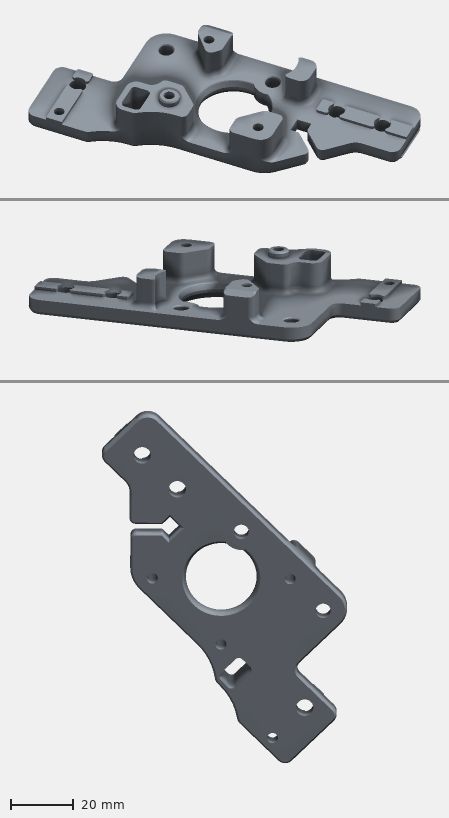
import cadquery as cq
import math

length = 116.0
width = 53.0
plate_top = 5.0
strip_top = 6.0
boss_top = 15.0
pin_top = 17.0
corner_r = 3.0
blend_r = 2.0
bottom_chamfer_height = 1.0
bottom_chamfer_width = 0.7

motor_x = 59.0
motor_y = 29.9
bolt_pitch = 31.0
half_pitch = bolt_pitch / 2
left_hole_x = motor_x - half_pitch
right_hole_x = motor_x + half_pitch
low_hole_y = motor_y - half_pitch
high_hole_y = motor_y + half_pitch
motor_rim_r = 12.4
motor_throat_r = 11.3
motor_rim_bevel = 0.2
motor_throat_height = 1.0

boss_reach = 8.1
boss_edge = 5.6
boss_cut = 7.0
cut_r = 2.5

lip_reach = 0.5
lip_slope = 0.2
body_right = length - lip_reach
arm_top = 24.8
arm_right = 21.5
upper_left_r = 7.0
upper_right_r = 5.0
tail_bottom = 30.7
front_edge = low_hole_y - boss_edge
scallop_r = 20.0
scallop_level = 4.3
low_scallop_end = 33.9
high_scallop_end = 48.6
tongue_tip_x = 92.3
tongue_tip_y = 21.8
prong_tip_x = 90.1
prong_tip_y = 20.1
prong_bend_r = 10.0
notch_left = 80.0
notch_right = 84.9
notch_bottom = 27.3
notch_top = 32.6
notch_r = 0.9

screw_d = 3.5
pin_d = 6.7
pin_chamfer = 0.5
slot_left = 30.3
slot_bottom = 6.0
slot_width = 6.5
slot_length = 9.7
slot_corner_r = 1.5
slot_wall = 1.9
bevel_length = 2.5
bevel_drop = 1.4
bevel_inset = 0.8

thread_d = 4.8
thread_mouth_d = 5.5
thread_left_x = 28.7
thread_right_x = 65.7
thread_wall_r = 6.0
boss_clearance_r = 8.4

strip_width = 5.6
strip_hole_d = 5.5
arm_strip_x = 9.9
arm_strip_hole_y = 18.6
arm_screw_y = 4.2
arm_screw_d = 3.4
tail_strip_left = 84.0
tail_strip_y = 41.0
tail_hole_xs = (90.0, 105.9)
strip_corner = 0.5
waist_half = 2.0
waist_flare = 0.5


def rounded_prism(sketch, height, corners):
    """Extrude a closed outline and round its vertical edges; a zero radius leaves a corner sharp."""
    body = sketch.extrude(height)
    for x, y, radius in corners:
        if radius == 0:
            continue
        nearest = cq.selectors.NearestToPointSelector((x, y, height / 2))
        body = body.edges("|Z").edges(nearest).fillet(radius)
    return body


def rounded_polygon(corners, height):
    """Prism whose corners are (x, y, rounding radius)."""
    points = [(x, y) for x, y, _ in corners]
    return rounded_prism(cq.Workplane("XY").polyline(points).close(), height, corners)


def cylinder(x, y, diameter, bottom, top):
    """Upright cylinder between two levels."""
    base = cq.Workplane("XY").workplane(offset=bottom)
    return base.center(x, y).circle(diameter / 2).extrude(top - bottom)


def scallop_span(rise):
    """Horizontal run of a scallop arc that falls by `rise` from its level end."""
    return math.sqrt(scallop_r**2 - (scallop_r - rise) ** 2)


def scallop_middle(end_x, end_y, rise):
    """Point halfway round a scallop arc, starting from its level end."""
    angle = math.acos(1 - rise / scallop_r) / 2
    return end_x - scallop_r * math.sin(angle), end_y - scallop_r * (1 - math.cos(angle))


def outline_prism():
    """Plate outline, full part height, with the bottom rim chamfered."""
    low_start = low_scallop_end - scallop_span(scallop_level)
    high_rise = front_edge - scallop_level
    high_start = high_scallop_end - scallop_span(high_rise)
    tail_start = tongue_tip_x + tail_bottom - tongue_tip_y
    notch_right_end = tongue_tip_y + tongue_tip_x - notch_right
    notch_bottom_end = prong_tip_x - (notch_bottom - prong_tip_y)
    prong_start = prong_tip_x - (prong_tip_y - front_edge)
    sketch = (
        cq.Workplane("XY")
        .moveTo(0, 0)
        .lineTo(low_start, 0)
        .threePointArc(scallop_middle(low_scallop_end, scallop_level, scallop_level),
                       (low_scallop_end, scallop_level))
        .lineTo(high_start, scallop_level)
        .threePointArc(scallop_middle(high_scallop_end, front_edge, high_rise),
                       (high_scallop_end, front_edge))
        .lineTo(prong_start, front_edge)
        .lineTo(prong_tip_x, prong_tip_y)
        .lineTo(notch_bottom_end, notch_bottom)
        .lineTo(notch_left, notch_bottom)
        .lineTo(notch_left, notch_top)
        .lineTo(notch_right, notch_top)
        .lineTo(notch_right, notch_right_end)
        .lineTo(tongue_tip_x, tongue_tip_y)
        .lineTo(tail_start, tail_bottom)
        .lineTo(body_right, tail_bottom)
        .lineTo(body_right, width)
        .lineTo(arm_right, width)
        .lineTo(arm_right, arm_top)
        .lineTo(0, arm_top)
        .close()
    )
    corners = [
        (0, 0, corner_r),
        (low_start, 0, corner_r),
        (high_start, scallop_level, slot_wall + slot_corner_r),
        (prong_start, front_edge, prong_bend_r),
        (prong_tip_x, prong_tip_y, blend_r),
        (notch_bottom_end, notch_bottom, notch_r),
        (notch_right, notch_right_end, notch_r),
        (tongue_tip_x, tongue_tip_y, blend_r),
        (tail_start, tail_bottom, upper_right_r),
        (body_right, tail_bottom, corner_r),
        (body_right, width, upper_right_r),
        (arm_right, width, upper_left_r),
        (arm_right, arm_top, corner_r),
        (0, arm_top, corner_r),
    ]
    prism = rounded_prism(sketch, pin_top, corners)
    return prism.faces("<Z").edges().chamfer(bottom_chamfer_width, bottom_chamfer_height)


def slot_boss():
    """Front-left boss: a lobe around the slot joined to a block around the pin."""
    lobe_left = slot_left - slot_wall
    lobe_top = 18.5
    lobe_r = 3.5
    neck_low_x = 36.8
    neck_high_x = 38.0
    right = left_hole_x + boss_reach
    top = low_hole_y + boss_reach
    scallop_start = high_scallop_end - scallop_span(front_edge - scallop_level)
    return rounded_polygon([
        (lobe_left, scallop_level, lobe_r),
        (scallop_start, scallop_level, 0),
        (high_scallop_end, front_edge, 0),
        (right, front_edge, blend_r),
        (right, top - boss_cut, cut_r),
        (right - boss_cut, top, cut_r),
        (neck_high_x, top, blend_r),
        (neck_low_x, lobe_top, lobe_r),
        (lobe_left, lobe_top, lobe_r),
    ], boss_top)


def front_right_boss():
    """Boss on the front edge, with a larger rounding on its outer corner."""
    outer_r = 4.4
    left = right_hole_x - boss_reach
    right = right_hole_x + boss_edge
    top = low_hole_y + boss_reach
    return rounded_polygon([
        (left, front_edge, blend_r),
        (right, front_edge, outer_r),
        (right, top, blend_r),
        (left + boss_cut, top, cut_r),
        (left, top - boss_cut, cut_r),
    ], boss_top)


def back_left_boss():
    """Boss on the back edge, with its top bevelled down towards that edge and its two corners."""
    left = 38.7
    right = 49.3
    tip_x = 45.7
    tip_y = 39.1
    left_end_y = 47.2
    right_end_y = tip_y + right - tip_x
    boss = rounded_polygon([
        (left, width, blend_r),
        (left, left_end_y, blend_r),
        (tip_x, tip_y, blend_r),
        (right, right_end_y, blend_r),
        (right, width, blend_r),
    ], boss_top)
    bevel_start = width - bevel_length
    bevel = (
        cq.Workplane("YZ")
        .polyline([
            (bevel_start, boss_top),
            (bevel_start + 2 * bevel_length, boss_top),
            (bevel_start + 2 * bevel_length, boss_top - 2 * bevel_drop),
        ])
        .close()
        .extrude(length)
    )
    boss = boss.cut(bevel)
    for pivot_x, turn in ((left + bevel_inset, 45), (right - bevel_inset, -45)):
        pivot = (pivot_x, bevel_start, 0)
        boss = boss.cut(bevel.rotate(pivot, (pivot_x, bevel_start, 1), turn))
    return boss


def back_right_boss():
    """Post beside the inner threaded hole, before the clearance cut."""
    left = 72.2
    right = 80.0
    bottom = 39.4
    top = 49.9
    return rounded_polygon([
        (left, bottom, blend_r),
        (right, bottom, corner_r),
        (right, top, corner_r),
        (left, top, blend_r),
    ], boss_top)


def blended_body():
    """Plate and bosses with filleted roots, trimmed to the plate outline."""
    margin = 11.6
    selection_gap = 0.1
    slab = cq.Workplane("XY").rect(length + 2 * margin, width + 2 * margin).extrude(plate_top)
    body = slab.translate((length / 2, width / 2, 0))
    for boss in (slot_boss(), front_right_boss(), back_left_boss(), back_right_boss()):
        body = body.union(boss)
    root_zone = cq.selectors.BoxSelector(
        (0, 0, plate_top - selection_gap),
        (length, width + selection_gap, plate_top + selection_gap),
        boundingbox=True,
    )
    body = body.edges(root_zone).fillet(blend_r)
    body = body.cut(cylinder(thread_right_x, high_hole_y, 2 * boss_clearance_r, plate_top, pin_top))
    return body.intersect(outline_prism())


def end_lip():
    """Thin ridge along the lower rim of the tail's end face."""
    wedge = (
        cq.Workplane("XZ")
        .polyline([
            (body_right - corner_r, 0),
            (body_right - bottom_chamfer_width, 0),
            (length, bottom_chamfer_height),
            (body_right, bottom_chamfer_height + lip_slope),
            (body_right - corner_r, bottom_chamfer_height + lip_slope),
        ])
        .close()
        .extrude(width - upper_right_r - tail_bottom - corner_r)
    )
    return wedge.translate((0, width - upper_right_r, 0))


def strip(x_start, x_end):
    """Raised strip lying along X and centred on Y = 0."""
    return (
        cq.Workplane("XY")
        .workplane(offset=plate_top)
        .center((x_start + x_end) / 2, 0)
        .rect(x_end - x_start, strip_width)
        .extrude(strip_top - plate_top)
        .edges("|Z and <X")
        .chamfer(strip_corner)
    )


def strip_gap(x):
    """Hourglass gap that parts a strip at a locating hole."""
    half = strip_width / 2
    flare = waist_half + waist_flare
    return (
        cq.Workplane("XY")
        .workplane(offset=plate_top)
        .polyline([
            (x - flare, -half),
            (x + flare, -half),
            (x + waist_half, waist_flare - half),
            (x + waist_half, half - waist_flare),
            (x + flare, half),
            (x - flare, half),
            (x - waist_half, half - waist_flare),
            (x - waist_half, waist_flare - half),
        ])
        .close()
        .extrude(strip_top - plate_top)
        .union(cylinder(x, 0, strip_hole_d, 0, strip_top))
    )


def motor_opening():
    """Double-tapered motor bore, less the wall kept around the inner threaded hole."""
    cone_start = (plate_top - motor_throat_height) / 2
    bevel_r = motor_rim_r - motor_rim_bevel
    bore = (
        cq.Workplane("XZ")
        .polyline([
            (0, 0),
            (motor_rim_r, 0),
            (bevel_r, motor_rim_bevel),
            (motor_throat_r, cone_start),
            (motor_throat_r, plate_top - cone_start),
            (bevel_r, plate_top - motor_rim_bevel),
            (motor_rim_r, plate_top),
            (0, plate_top),
        ])
        .close()
        .revolve(360, (0, 0), (0, 1))
        .translate((motor_x, motor_y, 0))
    )
    return bore.cut(cylinder(thread_right_x, high_hole_y, 2 * thread_wall_r, 0, plate_top))


def threaded_hole(x):
    """Through hole with a countersunk mouth."""
    mouth_depth = (thread_mouth_d - thread_d) / 2
    return (
        cq.Workplane("XZ")
        .polyline([
            (0, 0),
            (thread_d / 2, 0),
            (thread_d / 2, plate_top - mouth_depth),
            (thread_mouth_d / 2, plate_top),
            (0, plate_top),
        ])
        .close()
        .revolve(360, (0, 0), (0, 1))
        .translate((x, high_hole_y, 0))
    )


def boss_slot():
    """Rounded slot through the front-left boss."""
    return (
        cq.Workplane("XY")
        .center(slot_left + slot_width / 2, slot_bottom + slot_length / 2)
        .rect(slot_width, slot_length)
        .extrude(boss_top)
        .edges("|Z")
        .fillet(slot_corner_r)
    )


body = blended_body().union(end_lip())
pin = cylinder(left_hole_x, low_hole_y, pin_d, plate_top, pin_top).faces(">Z").chamfer(pin_chamfer)
body = body.union(pin)

tail_strip = strip(tail_strip_left, body_right)
arm_strip = strip(0, arm_top)
for hole_x in tail_hole_xs:
    tail_strip = tail_strip.cut(strip_gap(hole_x))
arm_strip = arm_strip.cut(strip_gap(arm_top - arm_strip_hole_y))
body = body.union(tail_strip.translate((0, tail_strip_y, 0)))
body = body.union(arm_strip.rotate((0, 0, 0), (0, 0, 1), -90).translate((arm_strip_x, arm_top, 0)))

body = body.cut(motor_opening())
body = body.cut(boss_slot())
for hole_x in (thread_left_x, thread_right_x):
    body = body.cut(threaded_hole(hole_x))

through_holes = [
    (left_hole_x, low_hole_y, screw_d),
    (right_hole_x, low_hole_y, screw_d),
    (left_hole_x, high_hole_y, screw_d),
    (arm_strip_x, arm_screw_y, arm_screw_d),
    (arm_strip_x, arm_strip_hole_y, strip_hole_d),
]
through_holes += [(hole_x, tail_strip_y, strip_hole_d) for hole_x in tail_hole_xs]
for x, y, diameter in through_holes:
    body = body.cut(cylinder(x, y, diameter, 0, pin_top))

result = body